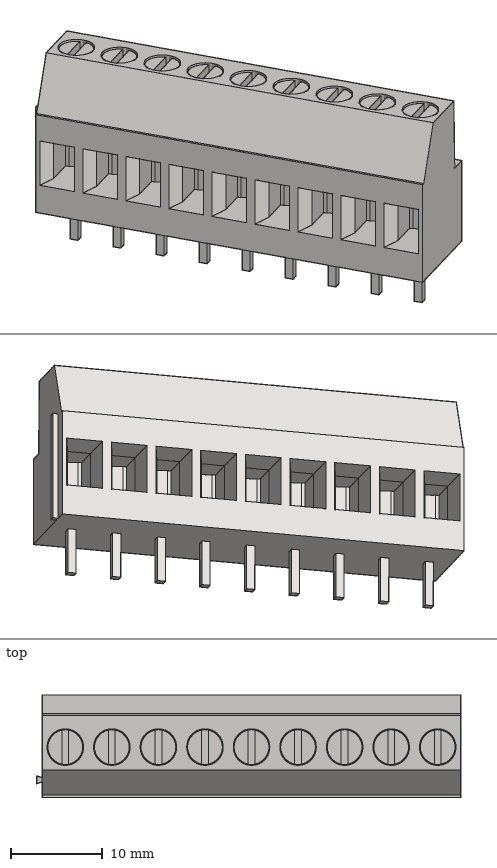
import cadquery as cq
import math

total_length = 46.3
rib_projection = 0.6
body_length = total_length - rib_projection
body_depth = 11.2
body_height = 18.0

terminal_count = 9
pitch = body_length / terminal_count
terminal_xs = [(i + 0.5) * pitch for i in range(terminal_count)]

lip_depth = 0.3
lip_height = 11.85
top_front_y = 3.0
top_back_y = 8.95
ledge_y = 9.15
ledge_height = 9.75

rib_y = 1.95
rib_tip_width = 0.9
rib_neck_width = 0.5
rib_height = 12.0

entry_width = 4.07
entry_bottom = 3.4
entry_top = 8.75
funnel_depth = 2.18
pocket_width = 2.6
pocket_top = 7.95
pocket_depth = 5.55
hollow_width = 1.8
hollow_radius = 2.0

screw_y = 5.5
screw_hole_diameter = 4.0
screw_hole_depth = 2.0
screw_diameter = 3.8
screw_recess = 0.2
slot_width = 0.75
slot_depth = 1.0

pin_y = 5.3
pin_width = 0.93
pin_length = 5.0


def make_housing():
    profile = [
        (0, 0),
        (body_depth, 0),
        (body_depth, ledge_height),
        (ledge_y, ledge_height),
        (top_back_y, body_height),
        (top_front_y, body_height),
        (lip_depth, lip_height),
        (0, lip_height),
    ]
    return cq.Workplane("YZ").polyline(profile).close().extrude(body_length)


def make_rib():
    half_neck = rib_neck_width / 2
    half_tip = rib_tip_width / 2
    outline = [
        (0, rib_y - half_neck),
        (0, rib_y + half_neck),
        (-rib_projection, rib_y + half_tip),
        (-rib_projection, rib_y - half_tip),
    ]
    return cq.Workplane("XY").polyline(outline).close().extrude(rib_height)


def make_wire_entry(x):
    """Cavity of one wire entry; its floor stays level from front to back."""
    entry_height = entry_top - entry_bottom
    pocket_height = pocket_top - entry_bottom
    funnel = (
        cq.Workplane("XZ")
        .center(x, entry_bottom + entry_height / 2)
        .rect(entry_width, entry_height)
        .workplane(offset=-funnel_depth)
        .center(0, (pocket_height - entry_height) / 2)
        .rect(pocket_width, pocket_height)
        .loft(ruled=True)
    )
    half_pocket = pocket_width / 2
    half_hollow = hollow_width / 2
    hollow_depth = hollow_radius - math.sqrt(hollow_radius**2 - half_hollow**2)
    pocket = (
        cq.Workplane("XY", origin=(x, 0, entry_bottom))
        .moveTo(-half_pocket, funnel_depth)
        .lineTo(half_pocket, funnel_depth)
        .lineTo(half_pocket, pocket_depth)
        .lineTo(half_hollow, pocket_depth)
        .threePointArc((0, pocket_depth + hollow_depth), (-half_hollow, pocket_depth))
        .lineTo(-half_pocket, pocket_depth)
        .close()
        .extrude(pocket_height)
    )
    return funnel.union(pocket)


def make_screw_hole(x):
    hole = cq.Workplane("XY", origin=(x, screw_y, body_height))
    return hole.circle(screw_hole_diameter / 2).extrude(-screw_hole_depth)


def make_screw(x):
    """Slotted screw head standing on the bottom of its hole."""
    head_height = screw_hole_depth - screw_recess
    head_bottom = cq.Workplane("XY", origin=(x, screw_y, body_height - screw_hole_depth))
    head = head_bottom.circle(screw_diameter / 2).extrude(head_height)
    slot_floor = cq.Workplane("XY", origin=(x, screw_y, body_height - screw_recess - slot_depth))
    slot = slot_floor.rect(slot_width, screw_diameter).extrude(slot_depth)
    return head.cut(slot)


def make_pin(x):
    return cq.Workplane("XY", origin=(x, pin_y, 0)).rect(pin_width, pin_width).extrude(-pin_length)


result = make_housing().union(make_rib())
for terminal_x in terminal_xs:
    result = result.cut(make_wire_entry(terminal_x))
    result = result.cut(make_screw_hole(terminal_x))
    result = result.union(make_screw(terminal_x))
    result = result.union(make_pin(terminal_x))